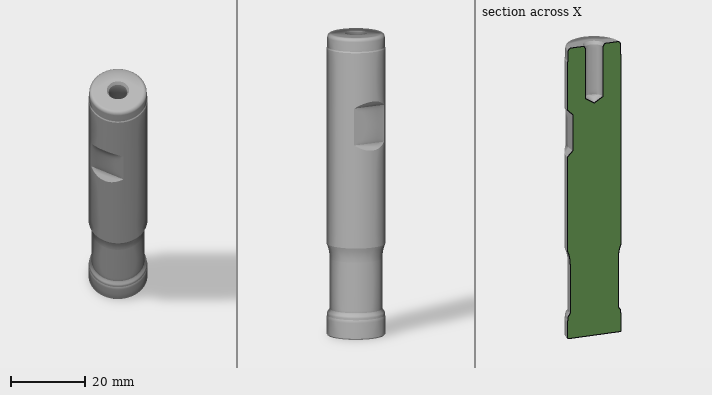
import cadquery as cq
import math

length = 82.55
shank_radius = 15.88 / 2

cone_slope = math.tan(math.radians(30.0))

land_radius = 15.47 / 2
land_step = shank_radius - land_radius
top_fillet = 1.0
top_cone_end = length - 4.0
top_land_end = top_cone_end + land_step / cone_slope

neck_radius = 14.2 / 2
neck_blend_radius = 10.0
neck_blend_bottom = 21.05
neck_blend_rise = math.sqrt(
    neck_blend_radius**2 - (neck_radius + neck_blend_radius - shank_radius) ** 2
)
neck_blend_top = neck_blend_bottom + neck_blend_rise

bottom_chamfer_width = 0.25
bottom_chamfer_height = 0.35
head_band_radius = 7.78
lower_round_start = 4.65
lower_round_end = 5.4
head_band_end = 5.9

shoulder_angle = math.radians(33.0)
shoulder_round_radius = 0.85
shoulder_cone_radius = head_band_radius - shoulder_round_radius * (1 - math.cos(shoulder_angle))
shoulder_cone_start = head_band_end + shoulder_round_radius * math.sin(shoulder_angle)
shoulder_cone_end = shoulder_cone_start + (shoulder_cone_radius - neck_radius) / math.tan(shoulder_angle)

flat_depth = 1.65
flat_length = 10.1
flat_center_z = length - 24.2

hole_radius = 5.0 / 2
hole_depth = 15.0
drill_point_angle = 118.0
countersink_radius = 6.0 / 2
countersink_depth = (countersink_radius - hole_radius) / cone_slope


def revolve_profile(profile):
    """Full turn of a closed (r, z) profile about the Z axis."""
    axis_start = (0, 0)
    axis_end = (0, 1)
    return profile.revolve(360, axis_start, axis_end)


def make_body():
    """Turned body: half profile in (r, z), revolved about Z."""
    profile = (
        cq.Workplane("XZ")
        .lineTo(shank_radius - bottom_chamfer_width, 0)
        .lineTo(shank_radius, bottom_chamfer_height)
        .lineTo(shank_radius, lower_round_start)
        .tangentArcPoint((head_band_radius, lower_round_end), relative=False)
        .lineTo(head_band_radius, head_band_end)
        .tangentArcPoint((shoulder_cone_radius, shoulder_cone_start), relative=False)
        .lineTo(neck_radius, shoulder_cone_end)
        .lineTo(neck_radius, neck_blend_bottom)
        .tangentArcPoint((shank_radius, neck_blend_top), relative=False)
        .lineTo(shank_radius, top_cone_end)
        .lineTo(land_radius, top_land_end)
        .lineTo(land_radius, length - top_fillet)
        .tangentArcPoint((land_radius - top_fillet, length), relative=False)
        .lineTo(0, length)
        .close()
    )
    return revolve_profile(profile)


def make_flat_cutter():
    """Trapezoid in (y, z), widening outward at 45 degrees, run across X."""
    floor_y = -(shank_radius - flat_depth)
    outer_y = -2 * shank_radius
    ramp = floor_y - outer_y
    half_floor = flat_length / 2
    half_mouth = half_floor + ramp
    return (
        cq.Workplane("YZ")
        .moveTo(floor_y, flat_center_z - half_floor)
        .lineTo(outer_y, flat_center_z - half_mouth)
        .lineTo(outer_y, flat_center_z + half_mouth)
        .lineTo(floor_y, flat_center_z + half_floor)
        .close()
        .extrude(shank_radius, both=True)
    )


def make_hole_cutter():
    """Countersunk blind hole with a conical drill point."""
    point_depth = hole_radius / math.tan(math.radians(drill_point_angle / 2))
    profile = (
        cq.Workplane("XZ")
        .moveTo(0, length)
        .lineTo(countersink_radius, length)
        .lineTo(hole_radius, length - countersink_depth)
        .lineTo(hole_radius, length - hole_depth)
        .lineTo(0, length - hole_depth - point_depth)
        .close()
    )
    return revolve_profile(profile)


result = make_body().cut(make_flat_cutter()).cut(make_hole_cutter())